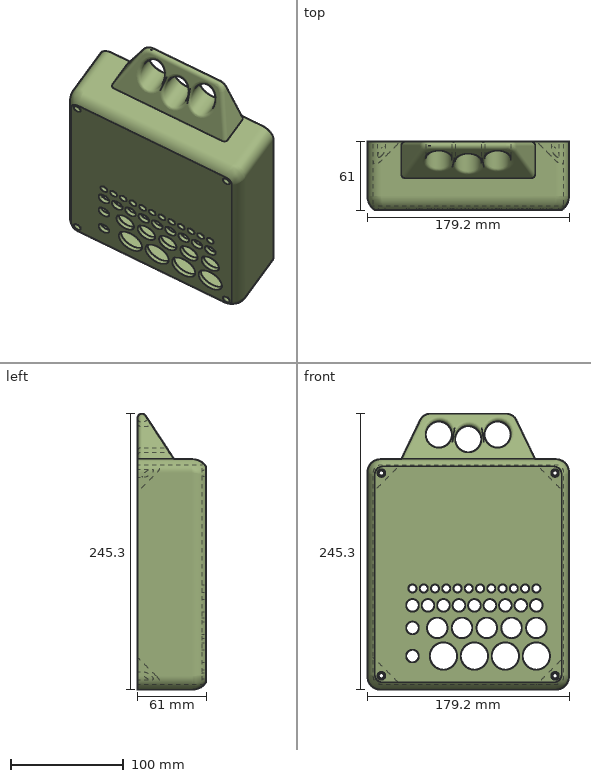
import cadquery as cq
import math

box_width = 179.22
box_depth = 61.0
box_height = 205.0
wall = 5.0
panel_thickness = 4.0
corner_radius = 12.0
inner_corner_radius = corner_radius - wall

rim_radius = 15.0
rim_inset = 6.6
rim_overshoot = rim_radius - math.sqrt(rim_radius**2 - (rim_radius - rim_inset) ** 2)

screw_inset = 12.5
screw_diameter = 4.5
screw_head_diameter = 7.0

gusset_leg = 24.0
gusset_hole_diameter = 7.0

pattern_left = -49.5
pattern_span = 110.0
small_diameter = 7.0
small_row_height = 90.0
small_row_gaps = 11
medium_diameter = 11.0
medium_row_height = 75.0
medium_row_gaps = 8
large_diameter = 18.0
large_row_height = 55.0
large_row_gaps = 5
largest_diameter = 24.0
largest_row_height = 30.0
largest_row_gaps = 4

handle_height = 40.29
handle_base_half_width = 59.5
handle_top_half_width = 40.0
handle_base_depth = 32.6
handle_top_depth = 6.165
handle_corner_radius = 10.0
handle_edge_radius = 4.0
finger_diameter = 23.0
finger_rounding = 3.0
finger_spacing = 26.1
outer_finger_height = 21.7
middle_finger_height = 17.6


def upright_block(width, height, front, back, radius):
    """Block with rounded edges along Y, centred on the box outline and reaching from front to back."""
    block = cq.Workplane("XY").box(width, back - front, height)
    middle = (0, (front + back) / 2, box_height / 2)
    return block.edges("|Y").fillet(radius).translate(middle)


def make_shell():
    """Hollow box, open at the back, with the front rim rounded and cut flat at the panel face."""
    outside = upright_block(box_width, box_height, -rim_overshoot, box_depth, corner_radius)
    outside = outside.faces("<Y").edges().fillet(rim_radius)
    flat_cut = cq.Workplane("XZ").rect(2 * box_width, 4 * box_height).extrude(2 * rim_overshoot)
    cavity = upright_block(
        box_width - 2 * wall, box_height - 2 * wall, panel_thickness, box_depth, inner_corner_radius
    )
    return outside.cut(flat_cut).cut(cavity)


def make_gusset(side, floor_z, up):
    """Three-sided pyramid in one back corner; side is the X sign and up the Z sign pointing into the box."""
    corner_x = side * (box_width / 2 - wall)
    corner = cq.Vector(corner_x, box_depth, floor_z)
    toe_x = cq.Vector(corner_x - side * gusset_leg, box_depth, floor_z)
    toe_y = cq.Vector(corner_x, box_depth - gusset_leg, floor_z)
    toe_z = cq.Vector(corner_x, box_depth, floor_z + up * gusset_leg)
    triangles = [
        (corner, toe_x, toe_y),
        (corner, toe_y, toe_z),
        (corner, toe_z, toe_x),
        (toe_x, toe_y, toe_z),
    ]
    faces = [cq.Face.makeFromWires(cq.Wire.makePolygon(triangle, close=True)) for triangle in triangles]
    return cq.Workplane(cq.Solid.makeSolid(cq.Shell.makeShell(faces)))


def add_gussets(solid):
    """Gussets in all four corners of the open back."""
    for side in (-1, 1):
        solid = solid.union(make_gusset(side, wall, 1))
        solid = solid.union(make_gusset(side, box_height - wall, -1))
    return solid


def drill(solid, points, diameter, depth=panel_thickness):
    """Round holes along Y, starting at the panel face and as deep as the panel unless told otherwise."""
    drills = cq.Workplane("XZ").pushPoints(points).circle(diameter / 2).extrude(-depth)
    return solid.cut(drills)


def row_points(height, gaps, first):
    """Centres of one pattern row, from column number first to the right end of the span."""
    pitch = pattern_span / gaps
    return [(pattern_left + pitch * column, height) for column in range(first, gaps + 1)]


def drill_pattern(solid):
    """Four rows of holes; the two coarse rows start with a medium hole in the left column."""
    coarse_starts = [(pattern_left, large_row_height), (pattern_left, largest_row_height)]
    medium_points = row_points(medium_row_height, medium_row_gaps, 0) + coarse_starts
    solid = drill(solid, row_points(small_row_height, small_row_gaps, 0), small_diameter)
    solid = drill(solid, medium_points, medium_diameter)
    solid = drill(solid, row_points(large_row_height, large_row_gaps, 1), large_diameter)
    return drill(solid, row_points(largest_row_height, largest_row_gaps, 1), largest_diameter)


def screw_hole(x, z):
    """Cutter for one corner: a taper through the panel, then a straight wider bore through the gusset."""
    taper = cq.Solid.makeCone(
        screw_head_diameter / 2,
        screw_diameter / 2,
        panel_thickness,
        pnt=cq.Vector(x, 0, z),
        dir=cq.Vector(0, 1, 0),
    )
    bore = cq.Solid.makeCylinder(
        gusset_hole_diameter / 2,
        box_depth - panel_thickness,
        pnt=cq.Vector(x, panel_thickness, z),
        dir=cq.Vector(0, 1, 0),
    )
    return cq.Workplane(taper).union(cq.Workplane(bore))


def drill_screws(solid):
    """Screw hole in each corner."""
    reach = box_width / 2 - screw_inset
    for x in (-reach, reach):
        for z in (screw_inset, box_height - screw_inset):
            solid = solid.cut(screw_hole(x, z))
    return solid


def make_wedge():
    """Handle blank with sloping sides and front and rounded edges."""
    front_outline = (
        cq.Workplane("XZ", origin=(0, box_depth, 0))
        .moveTo(-handle_base_half_width, box_height)
        .lineTo(-handle_top_half_width, box_height + handle_height)
        .lineTo(handle_top_half_width, box_height + handle_height)
        .lineTo(handle_base_half_width, box_height)
        .close()
        .extrude(handle_base_depth)
    )
    side_profile = (
        cq.Workplane("YZ", origin=(-box_width / 2, 0, 0))
        .moveTo(box_depth, box_height)
        .lineTo(box_depth, box_height + handle_height)
        .lineTo(box_depth - handle_top_depth, box_height + handle_height)
        .lineTo(box_depth - handle_base_depth, box_height)
        .close()
        .extrude(box_width)
    )
    rounded = front_outline.edges("|Y").edges(">Z").fillet(handle_corner_radius)
    wedge = rounded.intersect(side_profile)
    above_box = cq.selectors.BoxSelector(
        (-box_width, 0, box_height + handle_height / 4),
        (box_width, 2 * box_depth, box_height + 2 * handle_height),
    )
    return wedge.edges("not |Y").edges(above_box).fillet(handle_edge_radius)


def with_finger_hole(wedge, x, z):
    """Copy of the wedge with one finger hole along Y, rounded at the sloping front and at the back."""
    drill_bit = cq.Workplane("XZ").center(x, z).circle(finger_diameter / 2).extrude(-2 * box_depth)
    near_hole = cq.selectors.BoxSelector(
        (x - finger_diameter / 4, 0, z - finger_diameter / 4),
        (x + finger_diameter / 4, 2 * box_depth, z + finger_diameter / 4),
    )
    return wedge.cut(drill_bit).edges("%ELLIPSE or %CIRCLE").edges(near_hole).fillet(finger_rounding)


def make_handle():
    """Wedge with three finger holes; each hole is finished alone because the rounded mouths overlap."""
    wedge = make_wedge()
    outer_z = box_height + outer_finger_height
    handle = with_finger_hole(wedge, 0, box_height + middle_finger_height)
    for x in (-finger_spacing, finger_spacing):
        handle = handle.intersect(with_finger_hole(wedge, x, outer_z))
    return handle


result = add_gussets(make_shell())
result = drill_pattern(result)
result = drill_screws(result)
result = result.union(make_handle())